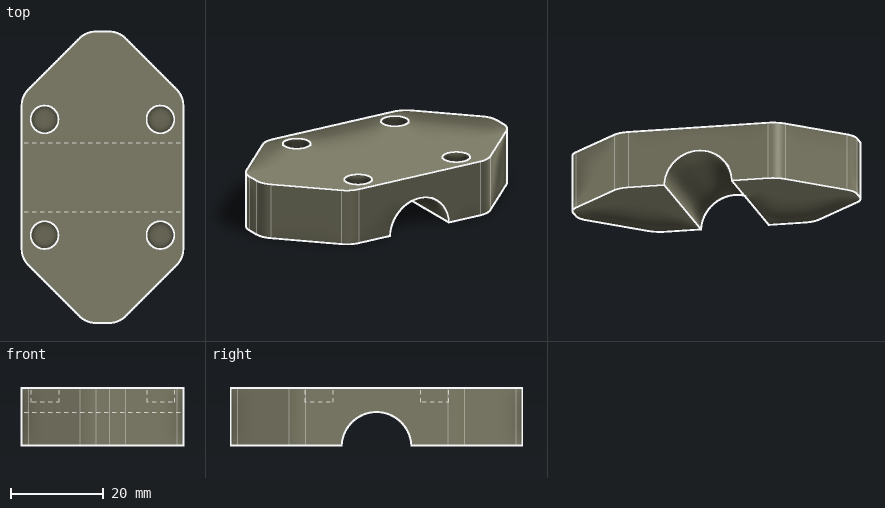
import cadquery as cq

width = 35.0
length = 63.0
height = 12.5
corner_cut = 14.0
corner_radius = 5.0

channel_radius = 7.5
channel_axis_z = -0.25

recess_diameter = 6.0
recess_depth = 3.0
recess_spacing = 25.0


def make_plate():
    """Rectangular plate with 45 degree corners, every upright edge rounded."""
    return (
        cq.Workplane("XY")
        .rect(width, length)
        .extrude(height)
        .edges("|Z")
        .chamfer(corner_cut)
        .edges("|Z")
        .fillet(corner_radius)
    )


def make_channel():
    """Cylinder that cuts the channel through the full width."""
    return (
        cq.Workplane("YZ")
        .center(0, channel_axis_z)
        .circle(channel_radius)
        .extrude(width / 2, both=True)
    )


def make_recesses():
    """Four cylinders on a square pattern, sunk from the top face."""
    return (
        cq.Workplane("XY", origin=(0, 0, height - recess_depth))
        .rect(recess_spacing, recess_spacing, forConstruction=True)
        .vertices()
        .circle(recess_diameter / 2)
        .extrude(recess_depth)
    )


result = make_plate().cut(make_channel()).cut(make_recesses())